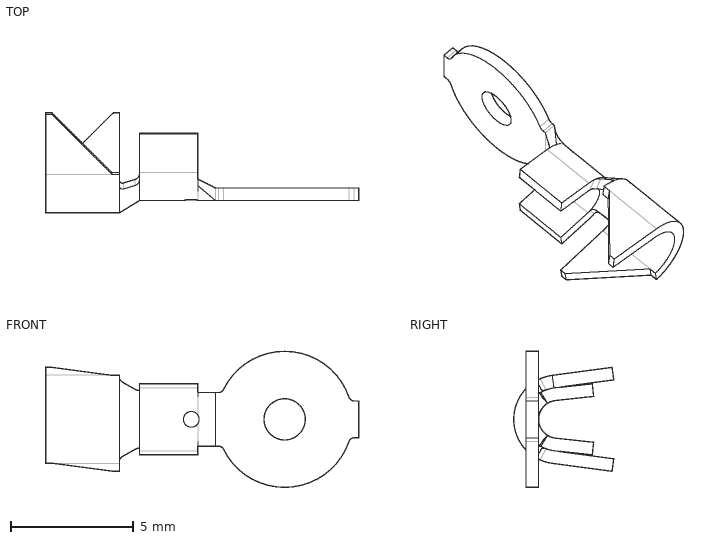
import cadquery as cq
import math


total_length = 12.83
sheet = 0.53

insulation_length = 3.03
insulation_radius = 1.82
insulation_drop = 0.5
insulation_tilt = 7.6
insulation_arm = 2.48
arm_tip_width = 0.26
arm_root_gap = 0.31

wire_start = 3.84
wire_end = 6.24
wire_radius = 1.3
wire_tilt = 6.2
wire_arm = 1.58

trough_half_angle = 61.5
neck_half_width = 1.1
flat_start = 6.97
trough_blank_half_angle = 78.0
trough_fillet = 0.17

spot_x = 5.97
spot_radius = 0.32
spot_depth = 0.05

ring_x = 9.79
ring_diameter = 5.58
hole_diameter = 1.68
tab_half_width = 0.76
ring_fillet = 0.22

ring_radius = ring_diameter / 2
insulation_center = insulation_radius - insulation_drop
wire_center = wire_radius


def bend_point(center_y, radius, angle):
    """Y, Z of a point on a bend; the angle is in degrees from the -Y direction."""
    turn = math.radians(angle)
    return (center_y - radius * math.cos(turn), radius * math.sin(turn))


def barrel(start, end, center_y, radius, tilt, arm):
    """Open U channel: a round bend with two straight arms leaning outwards."""
    lean = math.radians(tilt)
    inner_radius = radius - sheet
    rise = arm * math.cos(lean)
    spread = arm * math.sin(lean)
    outer_y, outer_z = bend_point(center_y, radius, 90 - tilt)
    inner_y, inner_z = bend_point(center_y, inner_radius, 90 - tilt)
    return (
        cq.Workplane("YZ", origin=(start, 0, 0))
        .moveTo(outer_y + rise, outer_z + spread)
        .lineTo(outer_y, outer_z)
        .threePointArc((center_y - radius, 0), (outer_y, -outer_z))
        .lineTo(outer_y + rise, -outer_z - spread)
        .lineTo(inner_y + rise, -inner_z - spread)
        .lineTo(inner_y, -inner_z)
        .threePointArc((center_y - inner_radius, 0), (inner_y, inner_z))
        .lineTo(inner_y + rise, inner_z + spread)
        .close()
        .extrude(end - start)
    )


def trough_section(x, center_y, radius, half_angle):
    """Closed wire of a curved sheet section at the given X."""
    inner_radius = radius - sheet
    outer_y, outer_z = bend_point(center_y, radius, half_angle)
    inner_y, inner_z = bend_point(center_y, inner_radius, half_angle)
    return (
        cq.Workplane("YZ", origin=(x, 0, 0))
        .moveTo(outer_y, outer_z)
        .threePointArc((center_y - radius, 0), (outer_y, -outer_z))
        .lineTo(inner_y, -inner_z)
        .threePointArc((center_y - inner_radius, 0), (inner_y, inner_z))
        .close()
        .val()
    )


def flat_section(x):
    """Closed wire of the flat sheet section at the given X."""
    return (
        cq.Workplane("YZ", origin=(x, 0, 0))
        .moveTo(0, neck_half_width)
        .lineTo(0, -neck_half_width)
        .lineTo(sheet, -neck_half_width)
        .lineTo(sheet, neck_half_width)
        .close()
        .val()
    )


def loft(first, second):
    """Straight-sided solid between two section wires."""
    return cq.Workplane(cq.Solid.makeLoft([first, second], True))


def insulation_barrel():
    """Wide barrel whose two arms are cut to points at opposite ends."""
    body = barrel(0, insulation_length, insulation_center, insulation_radius,
                  insulation_tilt, insulation_arm)
    lean = math.radians(insulation_tilt)
    root_y, root_z = bend_point(insulation_center, insulation_radius, 90 - insulation_tilt)
    arm_plane = cq.Plane(
        origin=(0, root_y, root_z),
        xDir=(1, 0, 0),
        normal=(0, math.sin(lean), -math.cos(lean)),
    )
    waste = (
        cq.Workplane(arm_plane)
        .moveTo(insulation_length, 0)
        .lineTo(insulation_length - arm_root_gap, 0)
        .lineTo(arm_tip_width, -insulation_arm)
        .lineTo(insulation_length, -insulation_arm)
        .close()
        .extrude(sheet)
    )
    middle = insulation_length / 2
    opposite_waste = waste.rotate((middle, 0, 0), (middle, 1, 0), 180)
    return body.cut(waste).cut(opposite_waste)


def wire_barrel():
    """Narrow barrel with plain rectangular arms."""
    return barrel(wire_start, wire_end, wire_center, wire_radius, wire_tilt, wire_arm)


def barrel_trough():
    """Tapered trough joining the two barrels, with its edges trimmed by round-cornered slots."""
    blank = loft(
        trough_section(insulation_length, insulation_center, insulation_radius,
                       trough_blank_half_angle),
        trough_section(wire_start, wire_center, wire_radius, trough_blank_half_angle),
    )
    turn = math.radians(trough_half_angle)
    edge_plane = cq.Plane(
        origin=(insulation_length, wire_center, 0),
        xDir=(1, 0, 0),
        normal=(0, -math.cos(turn), math.sin(turn)),
    )
    slot_length = wire_start - insulation_length
    slot = (
        cq.Workplane(edge_plane)
        .moveTo(0, insulation_radius)
        .lineTo(0, trough_fillet)
        .radiusArc((trough_fillet, 0), -trough_fillet)
        .lineTo(slot_length - trough_fillet, 0)
        .radiusArc((slot_length, trough_fillet), -trough_fillet)
        .lineTo(slot_length, insulation_radius)
        .close()
        .extrude(2 * insulation_radius)
    )
    return blank.cut(slot).cut(slot.mirror("XY"))


def flattening_neck():
    """Neck that opens from the wire barrel bend to the flat sheet."""
    half_angle = math.degrees(math.asin(neck_half_width / wire_radius))
    return loft(
        trough_section(wire_end, wire_center, wire_radius, half_angle),
        flat_section(flat_start),
    )


def strip(start, end, half_width):
    """Flat bar of sheet from start to end along X."""
    return (
        cq.Workplane("XY", origin=(start, 0, 0))
        .box(end - start, sheet, 2 * half_width, centered=(False, False, True))
    )


def ring():
    """Flat ring with its neck and end tab, filleted where they meet."""
    disc = cq.Workplane("XZ").center(ring_x, 0).circle(ring_radius).extrude(-sheet)
    blank = (
        disc
        .union(strip(flat_start, ring_x, neck_half_width))
        .union(strip(ring_x, total_length, tab_half_width))
    )
    rim_corners = cq.selectors.BoxSelector(
        (ring_x - ring_radius, 0, -ring_radius),
        (ring_x + ring_radius, sheet, ring_radius),
    )
    blank = blank.edges("|Y").edges(rim_corners).fillet(ring_fillet)
    hole = cq.Workplane("XZ").center(ring_x, 0).circle(hole_diameter / 2).extrude(-sheet)
    return blank.cut(hole)


def flat_spot():
    """Shallow round cutter that flattens the lowest part of the wire barrel."""
    return (
        cq.Workplane("XZ", origin=(spot_x, spot_depth, 0))
        .circle(spot_radius)
        .extrude(spot_depth)
    )


result = (
    insulation_barrel()
    .union(barrel_trough())
    .union(wire_barrel())
    .union(flattening_neck())
    .union(ring())
    .cut(flat_spot())
)